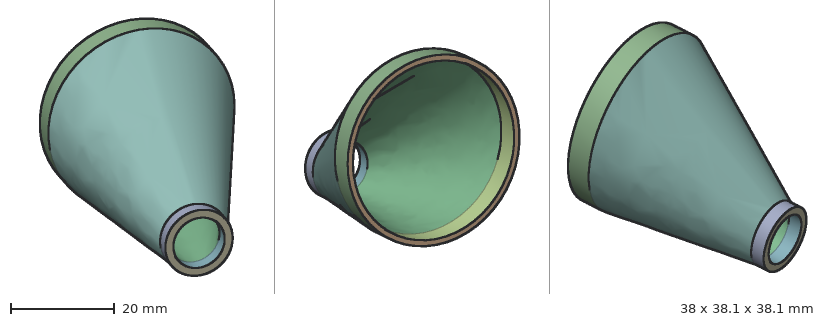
import cadquery as cq

collar_diameter = 38.1
collar_bore = 35.7
collar_length = 5.0

spout_diameter = 13.8
spout_bore = 10.5
spout_length = 3.0

cone_length = 30.0

spout_drop = (collar_diameter - spout_diameter) / 2
spout_start = collar_length + cone_length


def cylinder_along_x(diameter, length, x_start, z_center):
    return (
        cq.Workplane("YZ", origin=(x_start, 0, z_center))
        .circle(diameter / 2)
        .extrude(length)
    )


def oblique_cone(wide_diameter, narrow_diameter):
    return (
        cq.Workplane("YZ", origin=(collar_length, 0, 0))
        .circle(wide_diameter / 2)
        .workplane(offset=cone_length)
        .center(0, -spout_drop)
        .circle(narrow_diameter / 2)
        .loft(ruled=True)
    )


def funnel_body(wide_diameter, narrow_diameter):
    """Solid collar, oblique cone and spout with the given end diameters."""
    collar = cylinder_along_x(wide_diameter, collar_length, 0, 0)
    cone = oblique_cone(wide_diameter, narrow_diameter)
    spout = cylinder_along_x(narrow_diameter, spout_length, spout_start, -spout_drop)
    return collar.union(cone).union(spout)


outside = funnel_body(collar_diameter, spout_diameter)
passage = funnel_body(collar_bore, spout_bore)

result = outside.cut(passage)